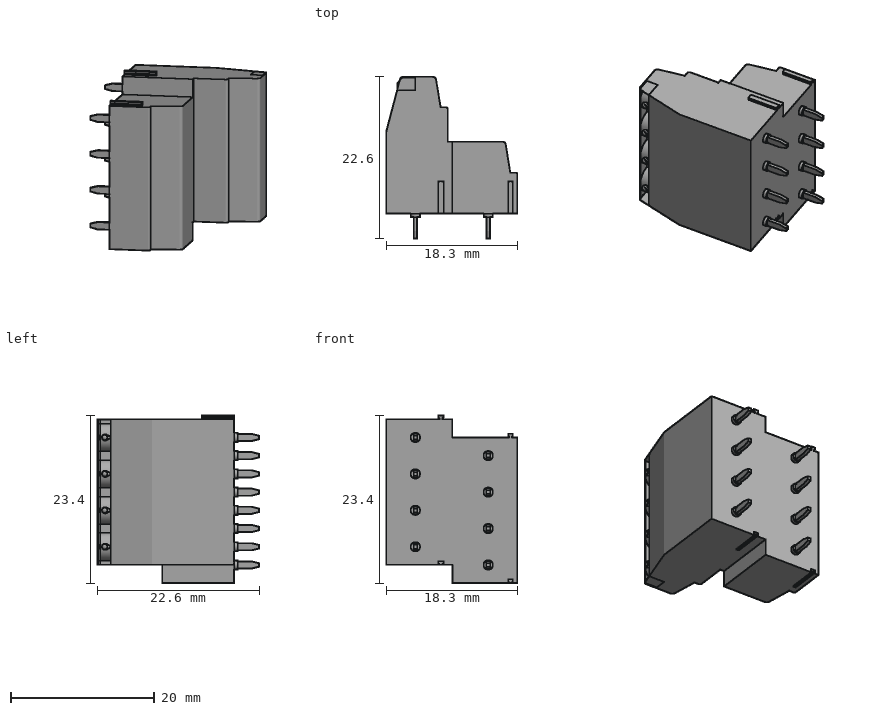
import cadquery as cq


total_width = 18.3
total_height = 23.43
pole_count = 4
pole_pitch = 5.08
row_height = pole_count * pole_pitch
row_offset = pole_pitch / 2

tall_depth = 19.1
row_split_x = 9.25
back_slope_start_y = 11.43
back_slope_top_x = 2.01
tall_front_top_x = 6.91
tall_ledge_x = 7.61
tall_ledge_y = 14.85
tall_front_x = 8.62
tall_ledge_fillet = 0.3

short_depth = 10.05
short_front_top_x = 16.64
short_ledge_x = 17.34
short_ledge_y = 5.72
short_ledge_fillet = 0.16
top_fillet = 0.5

window_top_y = tall_depth - 0.42
window_bottom_y = tall_depth - 1.87
cavity_end_wall = 0.05
cavity_top_y = tall_depth - 0.15
cavity_top_x = 2.23
screw_radius = 1.92

nub_radius = 0.45
nub_x = 1.97
nub_y = tall_depth - 1.1

first_pin_x = 4.08
pin_row_spacing = 2 * pole_pitch
collar_radius = 0.65
collar_length = 0.5
pin_length = 3.51
blade_thickness = 0.52
blade_width = 1.03
blade_tip_width = 0.5
blade_taper_length = 1.05

rib_height = total_height - row_height - row_offset
rib_length = 4.5
rib_neck_width = 0.4
rib_neck_height = 0.1
rib_head_height = 0.28
tall_rib_x = 7.64
tall_rib_width = 0.77
short_rib_x = 17.35
short_rib_width = 0.68


def slope_x(y):
    """X of the sloped -X side of the tall row at a given Y."""
    run = back_slope_top_x / (tall_depth - back_slope_start_y)
    return run * (y - back_slope_start_y)


def fillet_at(body, x, y, radius):
    """Round the Z-parallel edge that passes through (x, y)."""
    margin = 0.02
    corner = cq.selectors.BoxSelector(
        (x - margin, y - margin, 0), (x + margin, y + margin, total_height)
    )
    return body.edges("|Z").edges(corner).fillet(radius)


def tall_row():
    outline = [
        (0, 0),
        (row_split_x, 0),
        (row_split_x, short_depth),
        (tall_front_x, short_depth),
        (tall_front_x, tall_ledge_y),
        (tall_ledge_x, tall_ledge_y),
        (tall_front_top_x, tall_depth),
        (back_slope_top_x, tall_depth),
        (0, back_slope_start_y),
    ]
    body = cq.Workplane("XY", origin=(0, 0, row_offset)).polyline(outline).close().extrude(row_height)
    body = fillet_at(body, back_slope_top_x, tall_depth, top_fillet)
    body = fillet_at(body, tall_front_top_x, tall_depth, top_fillet)
    return fillet_at(body, tall_front_x, tall_ledge_y, tall_ledge_fillet)


def short_row():
    outline = [
        (row_split_x, 0),
        (total_width, 0),
        (total_width, short_ledge_y),
        (short_ledge_x, short_ledge_y),
        (short_front_top_x, short_depth),
        (row_split_x, short_depth),
    ]
    body = cq.Workplane("XY").polyline(outline).close().extrude(row_height)
    body = fillet_at(body, short_front_top_x, short_depth, top_fillet)
    return fillet_at(body, total_width, short_ledge_y, short_ledge_fillet)


def screw_cavity():
    """Cavity open through the slope; its floor lies on the plane of the screw axes."""
    outline = [
        (0, window_bottom_y),
        (first_pin_x, window_bottom_y),
        (first_pin_x, cavity_top_y),
        (cavity_top_x, cavity_top_y),
        (slope_x(window_top_y), window_top_y),
        (0, window_top_y),
    ]
    sketch = cq.Workplane("XY", origin=(0, 0, row_offset + cavity_end_wall)).polyline(outline).close()
    return sketch.extrude(row_height - 2 * cavity_end_wall)


def y_cylinder(x, z, radius, y_start, y_end):
    """Cylinder parallel to Y between two Y positions."""
    return cq.Workplane("XZ", origin=(x, y_start, z)).circle(radius).extrude(y_start - y_end)


def nub(z):
    """Ball whose tail runs toward -Y and thins out where it meets the plane of the slope."""
    ball = cq.Workplane("XY", origin=(nub_x, nub_y, z)).sphere(nub_radius)
    tail = y_cylinder(nub_x, z, nub_radius, window_bottom_y, nub_y)
    outside_slope = (
        cq.Workplane("XY", origin=(0, 0, z - nub_radius))
        .moveTo(0, window_bottom_y)
        .lineTo(slope_x(window_bottom_y), window_bottom_y)
        .lineTo(slope_x(nub_y), nub_y)
        .lineTo(0, nub_y)
        .close()
        .extrude(2 * nub_radius)
    )
    return ball.union(tail.intersect(outside_slope))


def pin(x, z):
    """Round collar with a flat blade that tapers at its tip."""
    collar = y_cylinder(x, z, collar_radius, -collar_length, 0)
    taper_y = blade_taper_length - pin_length
    blade = (
        cq.Workplane("YZ", origin=(x - blade_thickness / 2, 0, z))
        .moveTo(0, -blade_width / 2)
        .lineTo(0, blade_width / 2)
        .lineTo(taper_y, blade_width / 2)
        .lineTo(-pin_length, blade_tip_width / 2)
        .lineTo(-pin_length, -blade_tip_width / 2)
        .lineTo(taper_y, -blade_width / 2)
        .close()
        .extrude(blade_thickness)
    )
    return collar.union(blade)


def dovetail(x, head_width, base_z):
    """Dovetail bar rising from base_z, with its neck at the bottom."""
    neck = rib_neck_width / 2
    head = head_width / 2
    head_z = rib_height - rib_head_height
    outline = [
        (-neck, 0),
        (-neck, rib_neck_height),
        (-head, head_z),
        (-head, rib_height),
        (head, rib_height),
        (head, head_z),
        (neck, rib_neck_height),
        (neck, 0),
    ]
    return cq.Workplane("XZ", origin=(x, 0, base_z)).polyline(outline).close().extrude(-rib_length)


result = tall_row().union(short_row()).cut(screw_cavity())

for pole in range(pole_count):
    short_z = (pole + 0.5) * pole_pitch
    tall_z = short_z + row_offset
    screw = y_cylinder(first_pin_x, tall_z, screw_radius, window_bottom_y, cavity_top_y)
    result = result.union(screw).union(nub(tall_z))
    result = result.union(pin(first_pin_x, tall_z))
    result = result.union(pin(first_pin_x + pin_row_spacing, short_z))

for rib_x, rib_width, row_base in (
    (tall_rib_x, tall_rib_width, row_offset),
    (short_rib_x, short_rib_width, 0),
):
    result = result.cut(dovetail(rib_x, rib_width, row_base))
    result = result.union(dovetail(rib_x, rib_width, row_base + row_height))